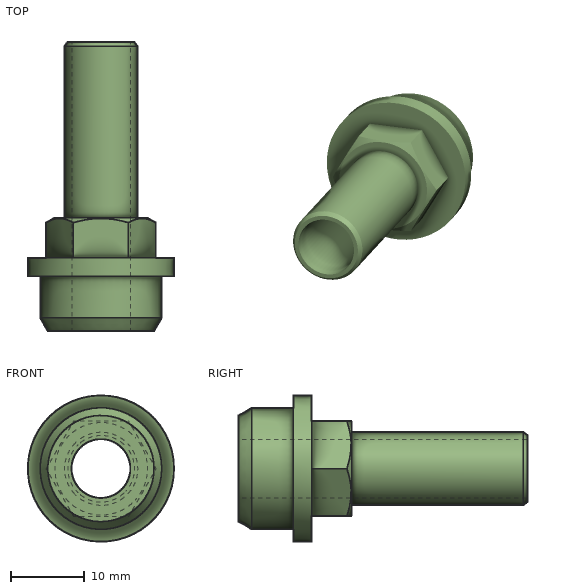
import cadquery as cq
import math

bore_diameter = 8.0
spigot_diameter = 16.6
spigot_length = 7.5
spigot_tip_diameter = 14.5
spigot_chamfer_angle = 30.0
flange_diameter = 20.0
flange_thickness = 2.5
hex_sides = 6
hex_across_flats = 13.0
hex_length = 5.5
hex_chamfer_diameter = 12.65
hex_chamfer_angle = 30.0
stem_diameter = 10.0
stem_length = 24.0
stem_chamfer_length = 0.6
stem_chamfer_width = 0.45

spigot_end = -spigot_length
hex_start = flange_thickness
hex_end = hex_start + hex_length
stem_end = hex_end + stem_length
hex_across_corners = hex_across_flats / math.cos(math.pi / hex_sides)


def revolve_about_y(profile_points):
    """Turn a closed (radius, y) profile a full circle about the Y axis."""
    return cq.Workplane("XY").polyline(profile_points).close().revolve(360, (0, 0, 0), (0, 1, 0))


def cylinder(diameter, y_start, y_end):
    """Solid cylinder along Y between two stations."""
    radius = diameter / 2
    return revolve_about_y([(0, y_start), (radius, y_start), (radius, y_end), (0, y_end)])


def make_spigot():
    """Spigot in front of the flange, tapered at its open end."""
    radius = spigot_diameter / 2
    tip_radius = spigot_tip_diameter / 2
    chamfer_length = (radius - tip_radius) / math.tan(math.radians(spigot_chamfer_angle))
    return revolve_about_y([
        (0, spigot_end),
        (tip_radius, spigot_end),
        (radius, spigot_end + chamfer_length),
        (radius, 0),
        (0, 0),
    ])


def make_hexagon():
    """Hexagon with corners on X, its stem-side corners cut back by a cone."""
    prism = (
        cq.Workplane("XZ", origin=(0, hex_start, 0))
        .polygon(hex_sides, hex_across_corners)
        .extrude(-hex_length)
    )
    end_radius = hex_chamfer_diameter / 2
    corner_radius = hex_across_corners / 2
    corner_drop = (corner_radius - end_radius) * math.tan(math.radians(hex_chamfer_angle))
    envelope = revolve_about_y([
        (0, hex_start),
        (corner_radius, hex_start),
        (corner_radius, hex_end - corner_drop),
        (end_radius, hex_end),
        (0, hex_end),
    ])
    return prism.intersect(envelope)


def make_stem():
    """Plain round stem with a small chamfer at its free end."""
    radius = stem_diameter / 2
    return revolve_about_y([
        (0, hex_end),
        (radius, hex_end),
        (radius, stem_end - stem_chamfer_length),
        (radius - stem_chamfer_width, stem_end),
        (0, stem_end),
    ])


flange = cylinder(flange_diameter, 0, flange_thickness)
bore = cylinder(bore_diameter, spigot_end, stem_end)

result = make_spigot().union(flange).union(make_hexagon()).union(make_stem()).cut(bore)